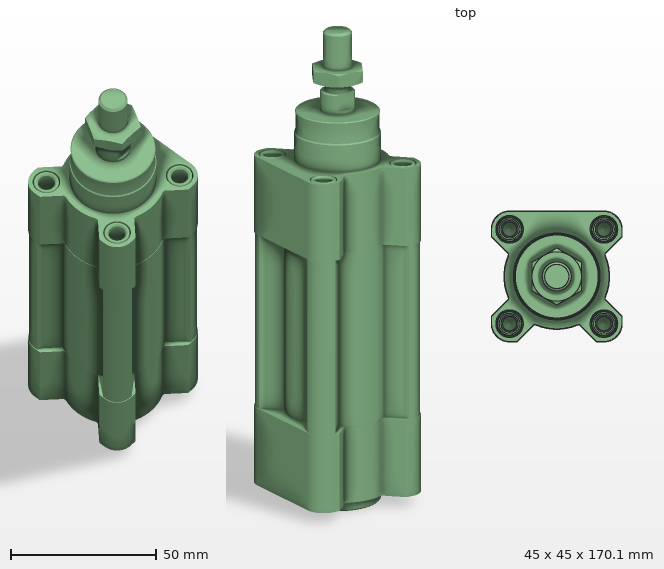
import cadquery as cq
import math

spigot_length = 4.0
end_cap_length = 28.0
front_cap_bottom = 95.3
total_height = 170.1
bearing_boss_top = 133.5
bearing_collar_top = 141.2
rear_cap_top = spigot_length + end_cap_length
front_cap_top = front_cap_bottom + end_cap_length

cap_half_width = 45.0 / 2
barrel_half_width = 22.3
screw_half_pitch = 32.5 / 2
cap_radius = 18.0
barrel_radius = 18.2
cap_root = 16.7
cap_web_offset = 8.8
barrel_root = 15.8
barrel_web_offset = 6.5
barrel_lip_half_width = 15.1
barrel_lip_depth = 1.7
lobe_edge_radius = 0.5
lobe_count = 4

boss_diameter = 30.0
boss_chamfer = 0.5
collar_diameter = 29.3
collar_waist = 0.25
collar_chamfer = 0.3

recess_diameter = 9.5
recess_depth = 5.0
screw_head_diameter = 8.7
screw_chamfer = 0.25
thread_diameter = 6.0
thread_core_diameter = 5.0
thread_depth = 12.0
core_depth = 14.5
countersink_diameter = 7.1
drill_tip_angle = 118.0

rod_diameter = 12.0
flats_width = 9.9
flats_bottom = 142.2
shoulder_height = 148.3
shoulder_chamfer = 0.3
neck_diameter = 9.0
neck_top = 150.0
rod_thread_diameter = 10.0
rod_thread_bottom = 151.4
rod_tip_chamfer = 0.9

nut_width = 17.0
nut_bottom = 151.9
nut_height = 5.0
nut_chamfer_angle = 22.0


def lobe_prism(half_width, root, lobe_side, bottom, height):
    """One corner lobe with its outer edges rounded, reaching from the axis to the (-X, -Y) corner.

    `lobe_side` lists the (across, out) points from the root to the outer face; the
    lobe is symmetric about its diagonal.
    """
    corner_radius = half_width - screw_half_pitch
    arc_inset = screw_half_pitch + corner_radius * math.sqrt(0.5)
    lower_side = [(-across, -out) for across, out in lobe_side]
    left_side = [(-out, -across) for across, out in reversed(lobe_side)]
    lobe = (
        cq.Workplane("XY", origin=(0, 0, bottom))
        .polyline([(0, 0), (0, -root)] + lower_side + [(-screw_half_pitch, -half_width)])
        .threePointArc((-arc_inset, -arc_inset), (-half_width, -screw_half_pitch))
        .polyline(left_side + [(-root, 0)], includeCurrent=True)
        .close()
        .extrude(height)
    )
    middle = bottom + height / 2
    for x, y in (lower_side[-1], left_side[0]):
        outer_edge = cq.selectors.NearestToPointSelector((x, y, middle))
        lobe = lobe.edges(outer_edge).fillet(lobe_edge_radius)
    return lobe


def lobed_prism(radius, half_width, root, lobe_side, bottom, height):
    """A round body with four corner lobes."""
    prism = cq.Workplane("XY", origin=(0, 0, bottom)).circle(radius).extrude(height)
    lobe = lobe_prism(half_width, root, lobe_side, bottom, height)
    for quarter in range(lobe_count):
        prism = prism.union(lobe.rotate((0, 0, 0), (0, 0, 1), 360 / lobe_count * quarter))
    return prism


def make_end_cap(bottom):
    """An end cap: 45 degree webs to the corners and a flat +Y side."""
    lobe_side = [
        (cap_root - cap_web_offset, cap_root),
        (cap_half_width - cap_web_offset, cap_half_width),
    ]
    cap = lobed_prism(cap_radius, cap_half_width, cap_root, lobe_side, bottom, end_cap_length)
    flat_side = (
        cq.Workplane("XY", origin=(0, cap_half_width / 2, bottom))
        .rect(2 * screw_half_pitch, cap_half_width)
        .extrude(end_cap_length)
    )
    return cap.union(flat_side)


def make_barrel():
    """The barrel between the caps, with a lip along both sides of each corner lobe."""
    lip_inner = barrel_half_width - barrel_lip_depth
    lobe_side = [
        (barrel_root - barrel_web_offset, barrel_root),
        (lip_inner - barrel_web_offset, lip_inner),
        (barrel_lip_half_width, barrel_half_width),
    ]
    height = front_cap_bottom - rear_cap_top
    return lobed_prism(barrel_radius, barrel_half_width, barrel_root, lobe_side, rear_cap_top, height)


def make_bearing_boss():
    """The boss on the front cap and the slightly waisted collar above it."""
    boss = (
        cq.Workplane("XY", origin=(0, 0, front_cap_top))
        .circle(boss_diameter / 2)
        .extrude(bearing_boss_top - front_cap_top)
        .faces(">Z")
        .chamfer(boss_chamfer)
    )
    radius = collar_diameter / 2
    chamfer_bottom = bearing_collar_top - collar_chamfer
    waist_height = (bearing_boss_top + chamfer_bottom) / 2
    collar = (
        cq.Workplane("XZ")
        .moveTo(0, bearing_boss_top)
        .lineTo(radius, bearing_boss_top)
        .threePointArc((radius - collar_waist, waist_height), (radius, chamfer_bottom))
        .lineTo(radius - collar_chamfer, bearing_collar_top)
        .lineTo(0, bearing_collar_top)
        .close()
        .revolve(360, (0, 0, 0), (0, 1, 0))
    )
    return boss.union(collar)


def make_spigot():
    """The centring spigot under the rear cap."""
    return (
        cq.Workplane("XY")
        .circle(boss_diameter / 2)
        .extrude(spigot_length)
        .faces("<Z")
        .chamfer(boss_chamfer)
    )


def screw_cutter():
    """What is cut at one corner: a ring round the screw head and its threaded hole."""
    head = (
        cq.Workplane("XY", origin=(0, 0, front_cap_top - recess_depth))
        .circle(screw_head_diameter / 2)
        .extrude(recess_depth)
        .faces(">Z")
        .chamfer(screw_chamfer)
    )
    ring = (
        cq.Workplane("XY", origin=(0, 0, front_cap_top - recess_depth))
        .circle(recess_diameter / 2)
        .extrude(recess_depth)
        .cut(head)
    )
    core_radius = thread_core_diameter / 2
    thread_radius = thread_diameter / 2
    countersink_depth = (countersink_diameter - thread_diameter) / 2
    drill_tip = core_radius / math.tan(math.radians(drill_tip_angle / 2))
    thread_bottom = front_cap_top - thread_depth
    core_bottom = front_cap_top - core_depth
    hole = (
        cq.Workplane("XZ")
        .polyline(
            [
                (0, front_cap_top),
                (countersink_diameter / 2, front_cap_top),
                (thread_radius, front_cap_top - countersink_depth),
                (thread_radius, thread_bottom),
                (core_radius, thread_bottom),
                (core_radius, core_bottom),
                (0, core_bottom - drill_tip),
            ]
        )
        .close()
        .revolve(360, (0, 0, 0), (0, 1, 0))
    )
    return ring.union(hole)


def make_housing():
    housing = make_end_cap(spigot_length).union(make_barrel()).union(make_end_cap(front_cap_bottom))
    housing = housing.union(make_bearing_boss()).union(make_spigot())
    cutter = screw_cutter()
    for x in (-screw_half_pitch, screw_half_pitch):
        for y in (-screw_half_pitch, screw_half_pitch):
            housing = housing.cut(cutter.translate((x, y, 0)))
    rod_bore = (
        cq.Workplane("XY", origin=(0, 0, front_cap_bottom))
        .circle(rod_diameter / 2)
        .extrude(bearing_collar_top - front_cap_bottom)
    )
    return housing.cut(rod_bore)


def make_rod():
    """The piston rod: shank with two wrench flats, curved neck and threaded end."""
    rod_radius = rod_diameter / 2
    neck_radius = neck_diameter / 2
    thread_radius = rod_thread_diameter / 2
    rod = (
        cq.Workplane("XZ")
        .polyline(
            [
                (0, front_cap_bottom),
                (rod_radius, front_cap_bottom),
                (rod_radius, shoulder_height - shoulder_chamfer),
                (rod_radius - shoulder_chamfer, shoulder_height),
                (neck_radius, shoulder_height),
                (neck_radius, neck_top),
            ]
        )
        .tangentArcPoint((thread_radius, rod_thread_bottom), relative=False)
        .polyline(
            [
                (thread_radius, total_height - rod_tip_chamfer),
                (thread_radius - rod_tip_chamfer, total_height),
                (0, total_height),
            ],
            includeCurrent=True,
        )
        .close()
        .revolve(360, (0, 0, 0), (0, 1, 0))
    )
    flat_depth = (rod_diameter - flats_width) / 2
    for side in (-1, 1):
        flat_cut = (
            cq.Workplane("XY", origin=(side * (flats_width + flat_depth) / 2, 0, flats_bottom))
            .rect(flat_depth, rod_diameter)
            .extrude(shoulder_height - flats_bottom)
        )
        rod = rod.cut(flat_cut)
    return rod


def make_nut():
    """The lock nut: flats facing +X and -X, corners bevelled on both faces."""
    corner_radius = nut_width / math.sqrt(3)
    face_radius = nut_width / 2
    bevel = (corner_radius - face_radius) * math.tan(math.radians(nut_chamfer_angle))
    nut_top = nut_bottom + nut_height
    hexagon = (
        cq.Workplane("XY", origin=(0, 0, nut_bottom))
        .polygon(6, 2 * corner_radius)
        .extrude(nut_height)
        .rotate((0, 0, 0), (0, 0, 1), 30)
    )
    bevelled_ring = (
        cq.Workplane("XZ")
        .polyline(
            [
                (rod_thread_diameter / 2, nut_bottom),
                (face_radius, nut_bottom),
                (corner_radius, nut_bottom + bevel),
                (corner_radius, nut_top - bevel),
                (face_radius, nut_top),
                (rod_thread_diameter / 2, nut_top),
            ]
        )
        .close()
        .revolve(360, (0, 0, 0), (0, 1, 0))
    )
    return hexagon.intersect(bevelled_ring)


housing = make_housing()
rod = make_rod()
nut = make_nut()

result = cq.Compound.makeCompound([housing.val(), rod.val(), nut.val()])